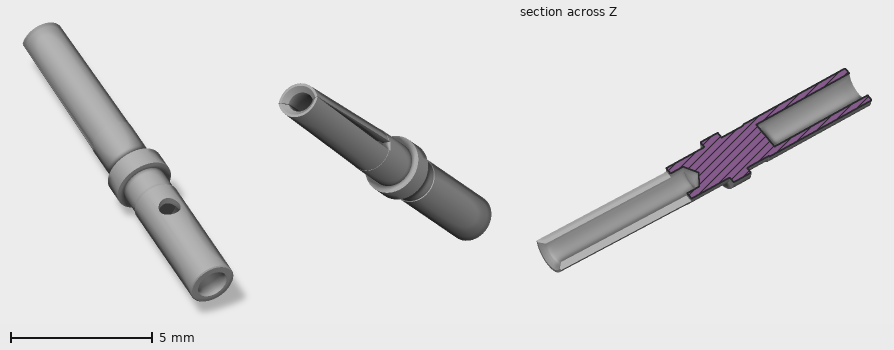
import cadquery as cq
import math

TOTAL_LENGTH = 13.28
TINE_LENGTH = 5.5
SLOT_END = 5.58
COLLAR_START = 7.21
COLLAR_WIDTH = 0.76
SLEEVE_START = 8.88

TINE_DIAMETER = 1.6
BARREL_DIAMETER = 1.62
COLLAR_DIAMETER = 2.12
SLEEVE_DIAMETER = 1.7
SLEEVE_CHAMFER = 0.04

SOCKET_DIAMETER = 1.02
SOCKET_DEPTH = 6.11
LEAD_IN_DIAMETER = 1.41
LEAD_IN_DEPTH = 0.2
DRILL_POINT_ANGLE = 118

WIRE_BORE_DIAMETER = 1.14
WIRE_BORE_START = 9.3
INSPECTION_DIAMETER = 0.78
INSPECTION_X = 9.95

SLOT_WIDTH = 0.35
TIP_GAP = 0.01
TINE_TILT = math.degrees(math.asin((SLOT_WIDTH - TIP_GAP) / 2 / TINE_LENGTH))


def cylinder(start, end, diameter):
    """Solid cylinder on the X axis between two stations."""
    return cq.Workplane("YZ", origin=(start, 0, 0)).circle(diameter / 2).extrude(end - start)


def socket_cavity():
    """Revolved cavity with lead-in, straight bore and drill point."""
    radius = SOCKET_DIAMETER / 2
    point_length = radius / math.tan(math.radians(DRILL_POINT_ANGLE / 2))
    profile = [
        (0, 0),
        (0, LEAD_IN_DIAMETER / 2),
        (LEAD_IN_DEPTH, radius),
        (SOCKET_DEPTH, radius),
        (SOCKET_DEPTH + point_length, 0),
    ]
    return cq.Workplane("XY").polyline(profile).close().revolve(360, (0, 0, 0), (1, 0, 0))


def upper_tine():
    """Upper half of the slotted tube, tilted down about its outer root edge."""
    radius = TINE_DIAMETER / 2
    tube = cylinder(0, SLOT_END, TINE_DIAMETER).cut(socket_cavity())
    upper_half = cq.Workplane("XY", origin=(0, 0, SLOT_WIDTH / 2)).box(
        SLOT_END, TINE_DIAMETER, radius, centered=(False, True, False)
    )
    pivot = (TINE_LENGTH, 0, radius)
    pivot_end = (TINE_LENGTH, 1, radius)
    tine = tube.intersect(upper_half).rotate(pivot, pivot_end, -TINE_TILT)
    return tine.translate((-tine.val().BoundingBox().xmin, 0, 0))


def barrel():
    """Stepped rear body with socket, wire bore and inspection hole."""
    body = cylinder(TINE_LENGTH, SLEEVE_START, BARREL_DIAMETER)
    body = body.union(cylinder(COLLAR_START, COLLAR_START + COLLAR_WIDTH, COLLAR_DIAMETER))
    sleeve = cylinder(SLEEVE_START, TOTAL_LENGTH, SLEEVE_DIAMETER)
    body = body.union(sleeve.faces(">X").chamfer(SLEEVE_CHAMFER))

    slot_root = cq.Workplane("XY").box(
        SLOT_END, COLLAR_DIAMETER, SLOT_WIDTH, centered=(False, True, True)
    )
    wire_bore = cylinder(WIRE_BORE_START, TOTAL_LENGTH, WIRE_BORE_DIAMETER)
    inspection_hole = (
        cq.Workplane("XY", origin=(INSPECTION_X, 0, 0))
        .circle(INSPECTION_DIAMETER / 2)
        .extrude(SLEEVE_DIAMETER)
    )
    return body.cut(socket_cavity()).cut(slot_root).cut(wire_bore).cut(inspection_hole)


tine = upper_tine()
result = barrel().union(tine).union(tine.mirror("XY"))